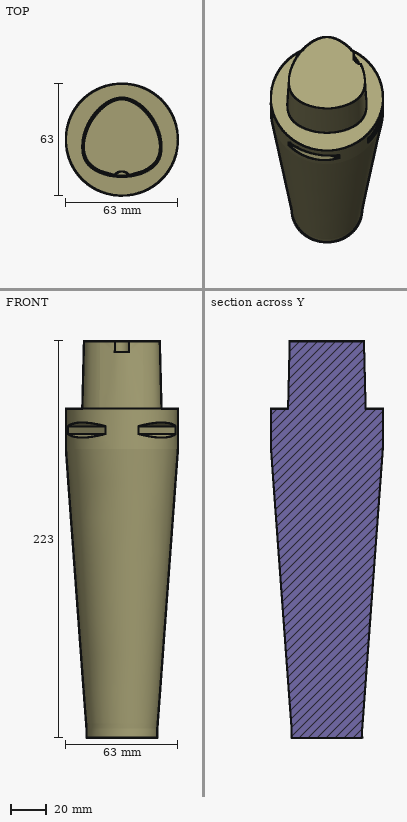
import cadquery as cq
import math

total_length = 223
shank_length = 38
flange_height = 22.7
flange_diameter = 63.0
nose_diameter = 40.0
nose_height = 5.4
nose_band_height = 2.7
nose_chamfer = 0.5
cone_end_step = 0.2

base_mean_radius = 22.3
lobe_offset = 1.3
shank_taper = 1 / 20
side_half_angle = 24
points_per_face = 8

key_radius = 5.0
key_inner_y = -17.8
key_depth = 6.2

notch_count = 4
notch_first_angle = 45
notch_floor_radius = 27.9
notch_floor_height = 4.2
notch_mouth_height = 8.5
notch_center_z = 173.0

flange_radius = flange_diameter / 2
flange_top = total_length - shank_length
flange_bottom = flange_top - flange_height


def body():
    """Revolved nose, cone and flange."""
    nose_radius = nose_diameter / 2
    profile = [
        (0, 0),
        (nose_radius - nose_chamfer, 0),
        (nose_radius, nose_chamfer),
        (nose_radius, nose_height),
        (nose_radius + cone_end_step, nose_height + nose_band_height),
        (flange_radius, flange_bottom),
        (flange_radius, flange_top),
        (0, flange_top),
    ]
    return cq.Workplane("XZ").polyline(profile).close().revolve(360, (0, 0), (0, 1))


def lobed_point(mean_radius, degrees, z):
    """Point where the outline's normal has the given angle, measured from +X."""
    angle = math.radians(degrees)
    reach = mean_radius - lobe_offset * math.sin(3 * angle)
    rate = -3 * lobe_offset * math.cos(3 * angle)
    x = reach * math.cos(angle) - rate * math.sin(angle)
    y = reach * math.sin(angle) + rate * math.cos(angle)
    return cq.Vector(x, y, z)


def lobed_tangent(degrees):
    angle = math.radians(degrees)
    return cq.Vector(-math.sin(angle), math.cos(angle), 0)


def lobed_edge(mean_radius, start, end, z):
    step = (end - start) / points_per_face
    points = [lobed_point(mean_radius, start + i * step, z) for i in range(points_per_face + 1)]
    return cq.Edge.makeSpline(points, tangents=[lobed_tangent(start), lobed_tangent(end)])


def lobed_wire(mean_radius, z):
    """Closed outline of three flatter sides alternating with three lobes."""
    edges = []
    for side_middle in (30, 150, 270):
        side_start = side_middle - side_half_angle
        side_end = side_middle + side_half_angle
        edges.append(lobed_edge(mean_radius, side_start, side_end, z))
        edges.append(lobed_edge(mean_radius, side_end, side_start + 120, z))
    return cq.Wire.assembleEdges(edges)


def shank():
    top_mean_radius = base_mean_radius - shank_length * shank_taper / 2
    base = lobed_wire(base_mean_radius, flange_top)
    top = lobed_wire(top_mean_radius, total_length)
    return cq.Workplane(cq.Solid.makeLoft([base, top], True))


def key_notch():
    return (
        cq.Workplane("XY", origin=(0, key_inner_y - key_radius, total_length - key_depth))
        .circle(key_radius)
        .extrude(key_depth)
    )


def gripper_notch(angle):
    """Straight groove with sloping walls, cut across the flange rim."""
    slope = (notch_mouth_height - notch_floor_height) / 2 / (flange_radius - notch_floor_radius)
    outer_radius = flange_radius + 2.2
    floor_half = notch_floor_height / 2
    outer_half = floor_half + slope * (outer_radius - notch_floor_radius)
    section = [
        (notch_floor_radius, -floor_half),
        (outer_radius, -outer_half),
        (outer_radius, outer_half),
        (notch_floor_radius, floor_half),
    ]
    return (
        cq.Workplane("XZ", origin=(0, 0, notch_center_z))
        .polyline(section)
        .close()
        .extrude(flange_radius, both=True)
        .rotate((0, 0, 0), (0, 0, 1), angle)
    )


result = body().union(shank()).cut(key_notch())
for i in range(notch_count):
    result = result.cut(gripper_notch(notch_first_angle + i * 360 / notch_count))